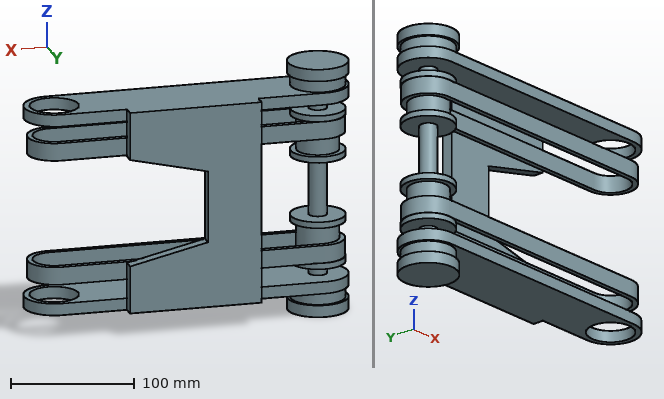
import cadquery as cq

overall_length = 270.0
overall_depth = 60.0
overall_height = 210.0

arm_width = 50.0
arm_bottom = 75.0
arm_top = 85.0
arm_hole_diameter = 40.0
arm_radius = arm_width / 2
axis_spacing = overall_length - arm_width

shaft_diameter = 15.0
neck_diameter = 45.0
cap_bottom = 95.0
cap_diameter = arm_width
cap_top = overall_height / 2

flange_diameter = neck_diameter
flange_thickness = 5.0
hub_diameter = 35.0
pulley_bottom = 25.0
pulley_top = 65.0

belt_width = 14.8
belt_thickness = 4.5
belt_top = pulley_top - flange_thickness
belt_bottom = belt_top - belt_width
belt_outer_width = hub_diameter + 2 * belt_thickness

plate_left = 56.2
plate_right = 166.0
plate_thickness = overall_depth - arm_width
notch_left = 101.0
notch_inner_half_height = 30.0
notch_outer_half_height = belt_bottom


def disc(diameter, bottom, top):
    """Cylinder on the shaft axis between two heights."""
    return cq.Workplane("XY").workplane(offset=bottom).circle(diameter / 2).extrude(top - bottom)


def round_ended_bar(width, bottom, top):
    """Bar with semicircular ends centred on the shaft axis and the far axis."""
    return (
        cq.Workplane("XY")
        .workplane(offset=bottom)
        .center(axis_spacing / 2, 0)
        .slot2D(axis_spacing + width, width)
        .extrude(top - bottom)
    )


def make_arm():
    hole = disc(arm_hole_diameter, arm_bottom, arm_top).translate((axis_spacing, 0, 0))
    return round_ended_bar(arm_width, arm_bottom, arm_top).cut(hole)


def make_end_cap():
    neck = disc(neck_diameter, arm_top, cap_bottom)
    return neck.union(disc(cap_diameter, cap_bottom, cap_top))


def make_pulley():
    hub = disc(hub_diameter, pulley_bottom, pulley_top)
    lower_flange = disc(flange_diameter, pulley_bottom, pulley_bottom + flange_thickness)
    upper_flange = disc(flange_diameter, pulley_top - flange_thickness, pulley_top)
    return hub.union(lower_flange).union(upper_flange)


def make_belt():
    outside = round_ended_bar(belt_outer_width, belt_bottom, belt_top)
    return outside.cut(round_ended_bar(hub_diameter, belt_bottom, belt_top))


def make_back_plate():
    outline = [
        (plate_left, -arm_top),
        (plate_right, -arm_top),
        (plate_right, -notch_outer_half_height),
        (notch_left, -notch_inner_half_height),
        (notch_left, notch_inner_half_height),
        (plate_right, notch_outer_half_height),
        (plate_right, arm_top),
        (plate_left, arm_top),
    ]
    return (
        cq.Workplane("XZ", origin=(0, arm_radius, 0))
        .polyline(outline)
        .close()
        .extrude(-plate_thickness)
    )


result = make_back_plate().union(disc(shaft_diameter, -arm_top, arm_top))
for feature in (make_arm(), make_end_cap(), make_pulley(), make_belt()):
    result = result.union(feature).union(feature.mirror("XY"))